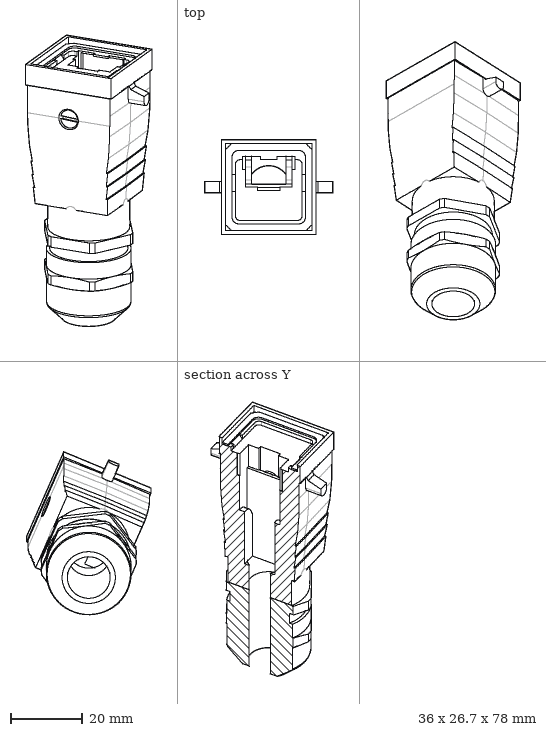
import cadquery as cq
import math

total_height = 78
collar_width = 26.7
hood_width = 26.2
peg_span = 36.0

collar_bottom = 71.8
crease_height = 63.6
hood_bottom = 36.0
socket_bottom = 27.15

side_draft = 0.2
socket_radius = 11.55
socket_overlap = 3.1
socket_bulge = 0.12

recess_width = 24.4
ledge_height = 75.8
seal_thickness = 0.55
seal_corner_cut = 1.7
seal_hole_width = 20.7
seal_hole_radius = 1.95
pocket_width = 18.7
pocket_front = -9.35
pocket_back = 7.7
pocket_radius = 1.3
pocket_floor = 74.5
side_notch_front = -1.2
side_notch_back = 3.5
side_notch_reach = seal_hole_width / 2

opening_width = 13.1
opening_front = 0.1
opening_back = 8.65
tab_width = 4.5
ledge_plate = 0.55
shaft_front = 0.85
shaft_back = 10.1
ear_width = 14.7
ear_front = 4.9
bore_radius = 6.0

boss_radius = 3.2
boss_face = -0.15
boss_notch_front = -0.9

rib_gap = 9.7
rib_radius = 2.7
rib_top = 54.6
rib_apex = 4.4
rib_slope_end = 7.6
rib_rear_angle = 30
rib_front_angle = 60

peg_width = 3.2
peg_axis_height = 67.9
peg_tip_top = 69.5
peg_root_top = 70.9
peg_root = 13.9

seat_radius = 3.05
seat_depth = 1.4
head_sink = 0.4
slot_width = 0.85
slot_depth = 0.5
slot_turn = 3

hex_flats = 23.95
hex_corner_radius = 13.4
flange_bottom = 24.0
neck_radius = 11.0
neck_bottom = 20.75
cap_radius = 11.9
nut_top = 15.8
nut_bottom = 12.3
nut_bevel = 0.4
cap_round_top = 4.8
cap_cone_top = 4.2
cap_cone_radius = 11.7
cap_tip_radius = 7.5


def block(x_size, y_from, y_to, z_from, z_to):
    """Box centred on X, given by its limits along Y and Z."""
    return (
        cq.Workplane("XY", origin=(0, 0, z_from))
        .center(0, (y_from + y_to) / 2)
        .rect(x_size, y_to - y_from)
        .extrude(z_to - z_from)
    )


def side_profile(inset):
    """Closed XZ outline of the hood with its three grip steps, moved in by `inset`."""
    right_side = [
        (hood_width / 2, collar_bottom),
        (hood_width / 2, 66.6),
        (13.0, 60.45),
        (12.55, 53.8),
        (11.8, 49.1),
        (12.2, 49.1),
        (11.6, 45.0),
        (12.0, 45.0),
        (11.4, 41.0),
        (11.8, 41.0),
        (11.5, hood_bottom),
    ]
    right = [cq.Vector(x - inset, 0, z) for x, z in right_side]
    left = [cq.Vector(-p.x, 0, p.z) for p in reversed(right)]
    return cq.Wire.makePolygon(right + left, close=True)


def stepped_sides():
    half_depth = hood_width / 2
    middle = side_profile(0)
    front = side_profile(side_draft).moved(cq.Location(cq.Vector(0, -half_depth, 0)))
    front_half = cq.Workplane(cq.Solid.makeLoft([middle, front], True))
    return front_half.union(front_half.mirror("XZ"))


def curved_front_and_back():
    """Slab whose front and back curve in tangentially below the crease."""
    half = hood_width / 2
    foot = socket_radius - socket_bulge
    drop = crease_height - hood_bottom
    curve_radius = (drop**2 + (half - foot) ** 2) / (2 * (half - foot))
    half_angle = math.asin(drop / curve_radius) / 2
    mid_half = half - curve_radius * (1 - math.cos(half_angle))
    mid_height = crease_height - curve_radius * math.sin(half_angle)
    return (
        cq.Workplane("YZ")
        .moveTo(-half, collar_bottom)
        .lineTo(half, collar_bottom)
        .lineTo(half, crease_height)
        .threePointArc((mid_half, mid_height), (foot, hood_bottom))
        .lineTo(-foot, hood_bottom)
        .threePointArc((-mid_half, mid_height), (-half, crease_height))
        .close()
        .extrude(collar_width / 2, both=True)
    )


def pegs():
    """Bar through the hood: sloped top, round underside, flared roots."""
    tip = peg_span / 2
    root = collar_width / 2
    bottom = peg_axis_height - peg_width / 2
    side_view = (
        cq.Workplane("XZ")
        .polyline([
            (-tip, bottom), (tip, bottom), (tip, peg_tip_top), (peg_root, peg_root_top),
            (root, collar_bottom), (-root, collar_bottom), (-peg_root, peg_root_top), (-tip, peg_tip_top),
        ])
        .close()
        .extrude(peg_width / 2, both=True)
    )
    round_bar = cq.Workplane("YZ").center(0, peg_axis_height).circle(peg_width / 2).extrude(tip, both=True)
    upper_bar = block(peg_span, -peg_width / 2, peg_width / 2, peg_axis_height, collar_bottom)
    return side_view.intersect(round_bar.union(upper_bar))


def mouth():
    """Cutter for the recess, the pocket inside the ledge and its two bevelled side notches."""
    half = recess_width / 2
    recess = block(recess_width, -half, half, ledge_height, total_height)
    pocket = (
        block(pocket_width, pocket_front, pocket_back, pocket_floor, ledge_height)
        .edges("|Z")
        .fillet(pocket_radius)
    )
    notches = (
        cq.Workplane("XZ", origin=(0, side_notch_front, 0))
        .polyline([
            (-side_notch_reach, ledge_height), (side_notch_reach, ledge_height),
            (pocket_width / 2, pocket_floor), (-pocket_width / 2, pocket_floor),
        ])
        .close()
        .extrude(side_notch_front - side_notch_back)
    )
    return recess.union(pocket).union(notches)


def shaft_ribs():
    """Bar with the rounded rib section, as wide as the shaft and open in the middle."""
    rear = math.radians(rib_rear_angle)
    front = math.radians(rib_front_angle)
    axis_height = rib_top - rib_radius
    rear_y = rib_apex + rib_radius * math.sin(rear)
    rear_z = axis_height + rib_radius * math.cos(rear)
    front_y = rib_apex - rib_radius * math.sin(front)
    front_z = axis_height + rib_radius * math.cos(front)
    foot_z = rear_z - (rib_slope_end - rear_y) * math.tan(rear)
    bar = (
        cq.Workplane("YZ")
        .moveTo(shaft_back, hood_bottom)
        .lineTo(shaft_back, foot_z)
        .lineTo(rib_slope_end, foot_z)
        .lineTo(rear_y, rear_z)
        .threePointArc((rib_apex, rib_top), (front_y, front_z))
        .lineTo(shaft_front, front_z - (front_y - shaft_front) * math.tan(front))
        .lineTo(shaft_front, hood_bottom)
        .close()
        .extrude(opening_width / 2, both=True)
    )
    return bar.cut(block(rib_gap, shaft_front, shaft_back, hood_bottom, rib_top))


def shaft():
    """Cutter for the wiring shaft, the notch over the screw boss and the bore to the gland."""
    boss_top = crease_height + boss_radius
    plate_bottom = ledge_height - ledge_plate
    tab = block(tab_width, pocket_back, opening_back, plate_bottom, ledge_height)
    opening = block(opening_width, opening_front, opening_back, boss_top, ledge_height)
    ears = block(ear_width, ear_front, opening_back, boss_top, ledge_height)
    deep = block(opening_width, shaft_front, shaft_back, hood_bottom, plate_bottom)
    boss_notch = block(2 * boss_radius, boss_notch_front, shaft_front, crease_height, ledge_height)
    boss = (
        cq.Workplane("XZ", origin=(0, boss_face, crease_height))
        .circle(boss_radius)
        .extrude(boss_face - boss_notch_front)
    )
    boss_shelf = block(2 * boss_radius, boss_face, shaft_front, crease_height, boss_top)
    bore = (
        cq.Workplane("XY", origin=(0, 0, socket_bottom))
        .circle(bore_radius)
        .extrude(hood_bottom - socket_bottom)
    )
    return (
        deep.cut(shaft_ribs())
        .union(opening.union(ears).cut(tab))
        .union(boss_notch.cut(boss).cut(boss_shelf))
        .union(bore)
    )


def screw_cone(sink):
    """Cone along Y that fills the screw seat from `sink` below the front face inward."""
    return (
        cq.Workplane("XZ", origin=(0, sink - hood_width / 2, crease_height))
        .circle(seat_radius - sink)
        .workplane(offset=sink - seat_depth)
        .circle(seat_radius - seat_depth)
        .loft()
    )


def make_hood():
    half = collar_width / 2
    collar = block(collar_width, -half, half, collar_bottom, total_height)
    socket = (
        cq.Workplane("XY", origin=(0, 0, socket_bottom))
        .circle(socket_radius)
        .extrude(hood_bottom + socket_overlap - socket_bottom)
    )
    body = stepped_sides().intersect(curved_front_and_back())
    body = body.union(collar).union(socket).union(pegs())
    return body.cut(mouth()).cut(shaft()).cut(screw_cone(0))


def make_seal():
    """Flat seal with cut corners that lies on the ledge of the recess."""
    half = recess_width / 2
    half_hole = seal_hole_width / 2
    top = ledge_height + seal_thickness
    plate = block(recess_width, -half, half, ledge_height, top).edges("|Z").chamfer(seal_corner_cut)
    hole = block(seal_hole_width, -half_hole, half_hole, ledge_height, top)
    return plate.cut(hole.edges("|Z").fillet(seal_hole_radius))


def make_screw():
    slot = (
        cq.Workplane("XZ", origin=(0, head_sink - hood_width / 2, crease_height))
        .transformed(rotate=(0, 0, -slot_turn))
        .rect(2 * seat_radius, slot_width)
        .extrude(-slot_depth)
    )
    return screw_cone(head_sink).cut(slot)


def hexagon(z_from, z_to):
    """Hexagon with two flats facing front and back and its corners turned round."""
    height = z_to - z_from
    plane = cq.Workplane("XY", origin=(0, 0, z_from))
    prism = plane.polygon(6, hex_flats / math.cos(math.pi / 6)).extrude(height)
    return prism.intersect(plane.circle(hex_corner_radius).extrude(height))


def bevelled_nut():
    bevel_limit = (
        cq.Workplane("XY", origin=(0, 0, nut_bottom))
        .circle(hex_corner_radius)
        .extrude(nut_top - nut_bottom)
        .faces("<Z or >Z")
        .chamfer(nut_bevel, hex_corner_radius - hex_flats / 2)
    )
    return hexagon(nut_bottom, nut_top).intersect(bevel_limit)


def make_gland():
    turned = (
        cq.Workplane("XZ")
        .polyline([
            (0, 0), (cap_tip_radius, 0), (cap_cone_radius, cap_cone_top), (cap_radius, cap_round_top),
            (cap_radius, neck_bottom), (neck_radius, neck_bottom), (neck_radius, flange_bottom),
            (0, flange_bottom),
        ])
        .close()
        .revolve(360, (0, 0, 0), (0, 1, 0))
    )
    bore = cq.Workplane("XY").circle(bore_radius).extrude(socket_bottom)
    return turned.union(hexagon(flange_bottom, socket_bottom)).union(bevelled_nut()).cut(bore)


hood = make_hood()
seal = make_seal()
screw = make_screw()
gland = make_gland()

result = cq.Compound.makeCompound([
    hood.solids().val(),
    seal.solids().val(),
    screw.solids().val(),
    gland.solids().val(),
])